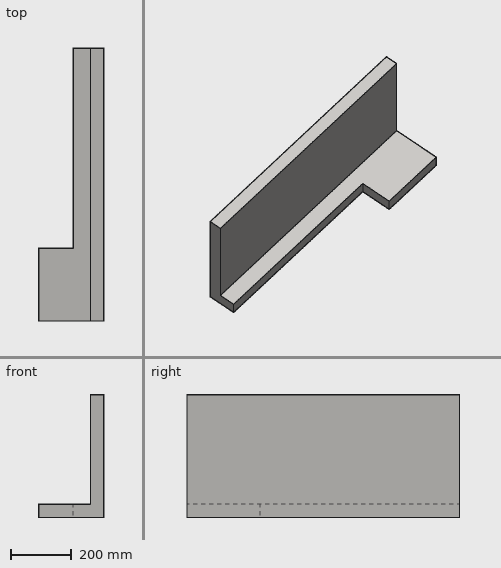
import cadquery as cq

total_width = 215.9
total_length = 901.7
total_height = 406.4

thickness = 44.45
narrow_base_width = 101.6
wide_base_length = 241.3


def corner_block(width, length, height):
    """Box with its right, front, bottom corner on the part's corner."""
    box = cq.Workplane("XY").box(width, length, height, centered=False)
    return box.translate((total_width - width, 0, 0))


wall = corner_block(thickness, total_length, total_height)

narrow_base = corner_block(narrow_base_width, total_length, thickness)
wide_base = corner_block(total_width, wide_base_length, thickness)

result = wall.union(narrow_base).union(wide_base).clean()